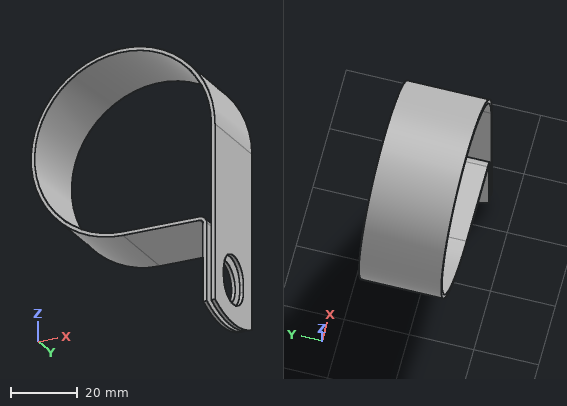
import cadquery as cq
import math

total_height = 90.9
loop_diameter = 61.2
strip_width = 25.4
thickness = 1.3
leg_gap = 1.45
bend_radius = 1.2
hole_diameter = 13.45
slot_length = 15.9
hole_height = 14.3
tip_rise = 3.0

outer_radius = loop_diameter / 2
inner_radius = outer_radius - thickness
leg_bottom = outer_radius - total_height
inner_leg_right = inner_radius - leg_gap
inner_leg_left = inner_leg_right - thickness
outer_bend_radius = bend_radius + thickness
bend_x = inner_leg_left - bend_radius
bend_z = -outer_radius - bend_radius
diagonal = math.sqrt(0.5)


def make_strap():
    """Bent strip: outer leg, three-quarter loop, shelf, bend and inner leg."""
    return (
        cq.Workplane("XZ")
        .moveTo(outer_radius, leg_bottom)
        .lineTo(outer_radius, 0)
        .threePointArc((-outer_radius * diagonal, outer_radius * diagonal), (0, -outer_radius))
        .lineTo(bend_x, -outer_radius)
        .threePointArc(
            (bend_x + bend_radius * diagonal, bend_z + bend_radius * diagonal),
            (inner_leg_left, bend_z),
        )
        .lineTo(inner_leg_left, leg_bottom)
        .lineTo(inner_leg_right, leg_bottom)
        .lineTo(inner_leg_right, bend_z)
        .threePointArc(
            (bend_x + outer_bend_radius * diagonal, bend_z + outer_bend_radius * diagonal),
            (bend_x, -inner_radius),
        )
        .lineTo(0, -inner_radius)
        .threePointArc((-inner_radius * diagonal, inner_radius * diagonal), (inner_radius, 0))
        .lineTo(inner_radius, leg_bottom)
        .close()
        .extrude(strip_width / 2, both=True)
    )


def make_side_outline():
    """Block with the rounded lower end shared by both legs."""
    half_width = strip_width / 2
    return (
        cq.Workplane("YZ")
        .moveTo(-half_width, outer_radius)
        .lineTo(-half_width, leg_bottom + tip_rise)
        .threePointArc((0, leg_bottom), (half_width, leg_bottom + tip_rise))
        .lineTo(half_width, outer_radius)
        .close()
        .extrude(outer_radius, both=True)
    )


def make_bolt_hole():
    """Round hole along X through the inner leg."""
    return (
        cq.Workplane("YZ", origin=(inner_leg_left, 0, leg_bottom + hole_height))
        .circle(hole_diameter / 2)
        .extrude(thickness)
    )


def make_bolt_slot():
    """Slightly taller slot along X through the outer leg, level with the round hole."""
    return (
        cq.Workplane("YZ", origin=(inner_radius, 0, leg_bottom + hole_height))
        .slot2D(slot_length, hole_diameter, 90)
        .extrude(thickness)
    )


result = (
    make_strap()
    .intersect(make_side_outline())
    .cut(make_bolt_hole())
    .cut(make_bolt_slot())
)